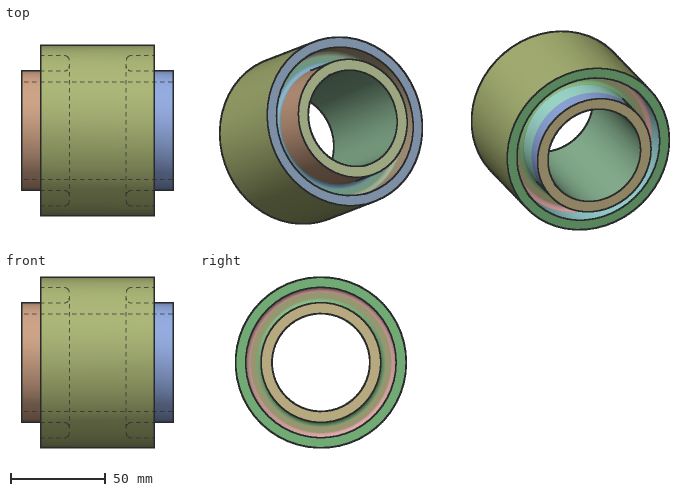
import cadquery as cq

INNER_SLEEVE_LENGTH = 80.0
OUTER_SLEEVE_LENGTH = 60.0
BORE_DIAMETER = 51.4
INNER_SLEEVE_DIAMETER = 63.0
GROOVE_OUTER_DIAMETER = 79.2
OUTER_SLEEVE_DIAMETER = 90.0
GROOVE_DEPTH = 15.0
GROOVE_FILLET_RADIUS = 2.5


def tube(outer_diameter, inner_diameter, length):
    """Hollow cylinder along X, centred on the origin."""
    return (
        cq.Workplane("YZ", origin=(-length / 2, 0, 0))
        .circle(outer_diameter / 2)
        .circle(inner_diameter / 2)
        .extrude(length)
    )


def left_end_groove():
    """Annular cutter for the -X end, with both edges of its floor rounded."""
    return (
        cq.Workplane("YZ", origin=(-OUTER_SLEEVE_LENGTH / 2, 0, 0))
        .circle(GROOVE_OUTER_DIAMETER / 2)
        .circle(INNER_SLEEVE_DIAMETER / 2)
        .extrude(GROOVE_DEPTH)
        .faces(">X")
        .edges()
        .fillet(GROOVE_FILLET_RADIUS)
    )


outer_body = tube(OUTER_SLEEVE_DIAMETER, BORE_DIAMETER, OUTER_SLEEVE_LENGTH)
inner_sleeve = tube(INNER_SLEEVE_DIAMETER, BORE_DIAMETER, INNER_SLEEVE_LENGTH)
bushing = outer_body.union(inner_sleeve)

left_groove = left_end_groove()
right_groove = left_groove.mirror("YZ")
result = bushing.cut(left_groove).cut(right_groove)